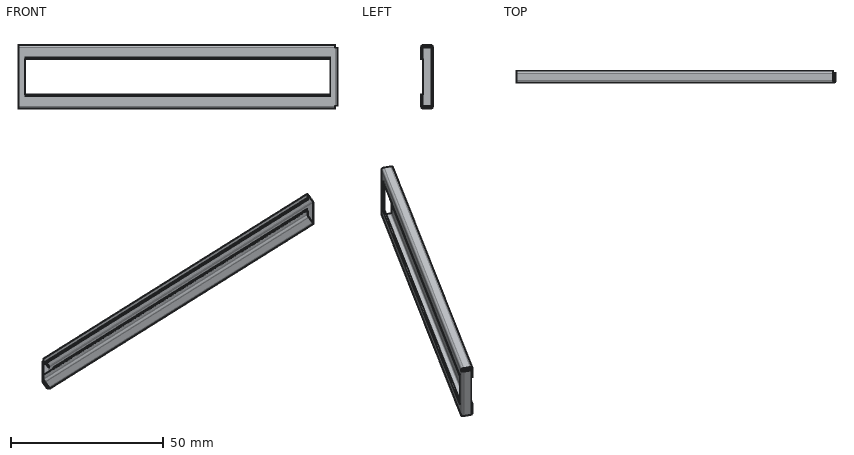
import cadquery as cq

length = 105.0
depth = 4.0
height = 21.0
wall = 0.6
bend_radius = 0.8
inner_bend_radius = bend_radius - wall

lip_height = 4.7
window_border_left = 2.2
window_border_right = 2.5
window_border_z = 4.1
tab_inset_z = 0.9
tab_back_gap = 0.6

channel_length = length - bend_radius
tab_height = height - 2 * tab_inset_z
tab_depth = depth - tab_back_gap


def channel():
    """C-section along X with its front web at Y = 0 and two lips at the back."""
    outside = (
        cq.Workplane("XY")
        .box(channel_length, depth, height, centered=(False, False, True))
        .edges("|X")
        .fillet(bend_radius)
    )
    inside = (
        cq.Workplane("XY")
        .box(channel_length, depth - 2 * wall, height - 2 * wall, centered=(False, False, True))
        .edges("|X")
        .fillet(inner_bend_radius)
        .translate((0, wall, 0))
    )
    back_gap = (
        cq.Workplane("XY")
        .box(channel_length, wall, height - 2 * lip_height, centered=(False, False, True))
        .translate((0, depth - wall, 0))
    )
    return outside.cut(inside).cut(back_gap)


def end_tab():
    """Tab that continues the web past the channel and bends towards the back."""
    return (
        cq.Workplane("XY")
        .workplane(offset=-tab_height / 2)
        .moveTo(channel_length, 0)
        .radiusArc((length, bend_radius), -bend_radius)
        .lineTo(length, tab_depth)
        .lineTo(length - wall, tab_depth)
        .lineTo(length - wall, bend_radius)
        .radiusArc((channel_length, wall), inner_bend_radius)
        .close()
        .extrude(tab_height)
    )


def window():
    """Rectangular opening through the front web only."""
    window_length = length - window_border_left - window_border_right
    return (
        cq.Workplane("XY")
        .box(window_length, wall, height - 2 * window_border_z, centered=(False, False, True))
        .translate((window_border_left, 0, 0))
    )


result = channel().union(end_tab()).cut(window())